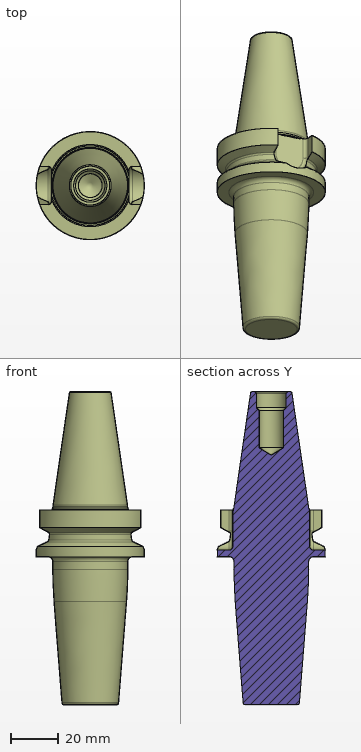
import cadquery as cq
import math

length = 133.4
gauge_z = 85.0
flange_top = 83.0
flange_bottom = 63.0
body_top = 57.6

gauge_radius = 15.9
taper_slope = 7 / 48
shank_top_chamfer = 0.5

collar_bottom = 84.2
foot_radius = 16.3
foot_bottom = 83.2
relief_floor = 82.7
relief_floor_radius = 17.0
relief_rim_radius = 17.5

flange_radius = 23.01
groove_radius = 19.1
groove_upper_edge = 75.4
groove_lower_edge = 67.4
groove_fillet = 1.0
flank_height = (flange_radius - groove_radius) * math.tan(math.radians(30))

body_radius = 16.0
neck_fillet = 2.0
nose_angle = math.radians(4.5)
cone_top = 44.0
nose_fillet = 1.1

slot_half_width = 8.1
slot_floor = 16.4
slot_floor_fillet = 1.6
slot_bottom = 65.9

counterbore_radius = 6.3
counterbore_depth = 7.0
mouth_chamfer = 0.8
thread_radius = 5.1
thread_depth = 24.0
drill_tip_half_angle = math.radians(59)


def half_plane():
    return cq.Workplane("XZ")


def revolve_about_z(outline):
    return outline.close().revolve(360, (0, 0, 0), (0, 1, 0))


def make_shank():
    top_radius = gauge_radius - (length - gauge_z) * taper_slope
    return revolve_about_z(
        half_plane()
        .moveTo(0, relief_floor)
        .lineTo(foot_radius, relief_floor)
        .lineTo(foot_radius, foot_bottom)
        .lineTo(gauge_radius, collar_bottom)
        .lineTo(gauge_radius, gauge_z)
        .lineTo(top_radius + shank_top_chamfer * taper_slope, length - shank_top_chamfer)
        .lineTo(top_radius - shank_top_chamfer, length)
        .lineTo(0, length)
    )


def make_flange():
    flange = revolve_about_z(
        half_plane()
        .moveTo(0, flange_bottom)
        .lineTo(flange_radius, flange_bottom)
        .lineTo(flange_radius, groove_lower_edge)
        .lineTo(groove_radius, groove_lower_edge + flank_height)
        .lineTo(groove_radius, groove_upper_edge - flank_height)
        .lineTo(flange_radius, groove_upper_edge)
        .lineTo(flange_radius, flange_top)
        .lineTo(relief_rim_radius, flange_top)
        .lineTo(relief_floor_radius, relief_floor)
        .lineTo(0, relief_floor)
    )
    groove_zone_radius = groove_radius + groove_fillet / 2
    groove_zone = cq.selectors.BoxSelector(
        (-groove_zone_radius, -groove_zone_radius, groove_lower_edge + flank_height / 2),
        (groove_zone_radius, groove_zone_radius, groove_upper_edge - flank_height / 2),
        boundingbox=True,
    )
    return flange.edges("%CIRCLE").edges(groove_zone).fillet(groove_fillet)


def make_body():
    bend_radius = (body_top - cone_top) / math.sin(nose_angle)
    cone_top_radius = body_radius - bend_radius * (1 - math.cos(nose_angle))
    nose_radius = cone_top_radius - cone_top * math.tan(nose_angle)
    body = revolve_about_z(
        half_plane()
        .lineTo(nose_radius, 0)
        .lineTo(cone_top_radius, cone_top)
        .radiusArc((body_radius, body_top), -bend_radius)
        .lineTo(body_radius, flange_bottom - neck_fillet)
        .radiusArc((body_radius + neck_fillet, flange_bottom), neck_fillet)
        .lineTo(0, flange_bottom)
    )
    return body.faces("<Z").edges().fillet(nose_fillet)


def make_slot_cutter(side):
    """Round-bottomed slot, open upwards and outwards, with a rounded floor edge."""
    arc_center = slot_bottom + slot_half_width
    cutter = (
        cq.Workplane("YZ", origin=(slot_floor, 0, 0))
        .moveTo(-slot_half_width, length)
        .lineTo(-slot_half_width, arc_center)
        .threePointArc((0, slot_bottom), (slot_half_width, arc_center))
        .lineTo(slot_half_width, length)
        .close()
        .extrude(flange_radius)
        .faces("<X")
        .edges("not >Z")
        .fillet(slot_floor_fillet)
    )
    return cutter if side > 0 else cutter.mirror("YZ")


def make_top_hole():
    step_z = length - counterbore_depth
    hole_end = length - thread_depth
    tip_depth = thread_radius / math.tan(drill_tip_half_angle)
    return revolve_about_z(
        half_plane()
        .moveTo(0, length)
        .lineTo(counterbore_radius + mouth_chamfer, length)
        .lineTo(counterbore_radius, length - mouth_chamfer)
        .lineTo(counterbore_radius, step_z)
        .lineTo(thread_radius, step_z - (counterbore_radius - thread_radius))
        .lineTo(thread_radius, hole_end)
        .lineTo(0, hole_end - tip_depth)
    )


result = make_shank().union(make_flange()).union(make_body())
for side in (-1, 1):
    result = result.cut(make_slot_cutter(side))
result = result.cut(make_top_hole())